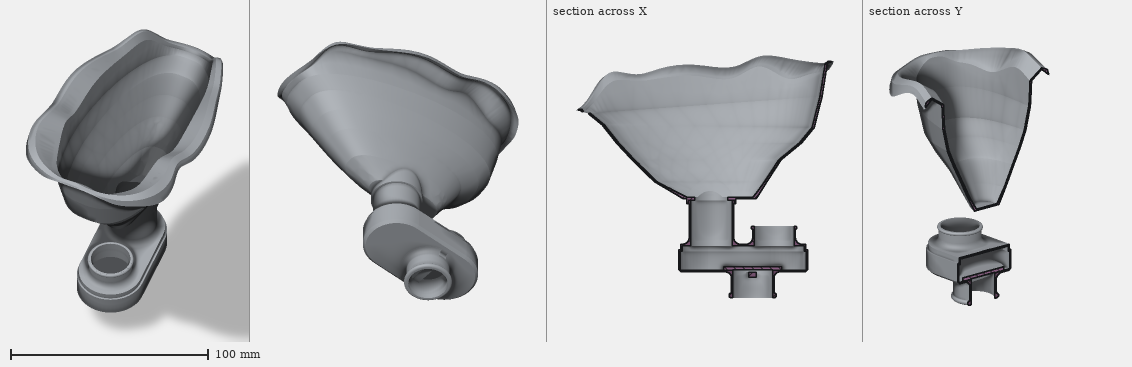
import cadquery as cq
import math


WALL = 0.98

BOX_TURN = 6.3
PORT_SPACING = 32.0
BOX_RADIUS = 17.2
BOX_BOTTOM = 13.1
BOX_TOP = 24.5
BOX_CHAMFER = 1.5
BOX_FLOOR = BOX_BOTTOM + WALL
LID_RADIUS = BOX_RADIUS - WALL
LID_TOP = 27.4
LID_SKIRT = 1.0

PORT_DIAMETER = 22.0
PORT_BORE = 20.0
PIPE_DIAMETER = 24.0
PIPE_BORE = PIPE_DIAMETER - 2 * WALL
LID_FLARE = 3.1
INTAKE_TOP = 36.5
INTAKE_LIP_RADIUS = 11.7
INTAKE_LIP_HEIGHT = 1.8
EXHAUST_OFFSET = 21.1
EXHAUST_FLARE = 2.8
EXHAUST_LIP_RADIUS = 12.2
EXHAUST_LIP_HEIGHT = 2.6

DISC_RADIUS = 14.9
DISC_THICKNESS = 2.0
BAR_WIDTH = 4.2
BAR_TOP = BOX_BOTTOM
BAR_BOTTOM = BOX_BOTTOM - EXHAUST_FLARE
BAR_STICK_OUT = 0.5

NECK_DIAMETER = 26.2
NECK_BOTTOM = 47.5
NECK_TOP = 60.3
SOCKET_DEPTH = 2.0
MASK_OUTLET = 18.0
PIPE_TOP = NECK_BOTTOM + SOCKET_DEPTH

RIM = [
    (0, -61.8, 119.6, 120.5),
    (11.8, -61.5, 118.5, 119.7),
    (21, -59.0, 115.3, 119.2),
    (30.1, -54.4, 114.2, 119.5),
    (39.3, -42.5, 111.6, 121.2),
    (40.7, -35.1, 114.6, 122.5),
    (39.3, -26.2, 117.9, 122.7),
    (40.3, -13.1, 112.4, 117.6),
    (40.6, 7.0, 113.0, 118.2),
    (33.8, 28.8, 111.7, 116.0),
    (30.1, 39.3, 110.7, 113.5),
    (23.8, 53.0, 110.4, 114.5),
    (14.1, 63.7, 99.5, 100.9),
    (5.0, 68.4, 95.4, 96.0),
    (0, 69.0, 95.0, 95.6),
]
CREST_SCALE = (0.88, 0.96)
SHOULDER_SCALE = (0.97, 0.99)
SHOULDER_RISE = 0.7
ROOT_DROP = 0.5

SHELL = [
    (-23.6, 15.7, 8.5, 50.3, 50.3),
    (-28.5, 29.5, 13.4, 59.0, 59.0),
    (-35.6, 40.6, 18.6, 70.1, 70.1),
    (-46.0, 48.5, 22.3, 78.6, 78.6),
    (-52.4, 55.7, 25.7, 86.5, 87.8),
    (-56.3, 62.9, 28.5, 102.2, 93.7),
]
SHELL_ROOT = (-59.0, 66.2, 29.2)
NOSE_TAPER = 0.08
SHELL_FULLNESS = 0.75
SHELL_INSET = 1.3
CAVITY_SECTIONS = 4

CHIN_Y = RIM[0][1]
NOSE_Y = RIM[-1][1]
STATIONS = [(y - CHIN_Y) / (NOSE_Y - CHIN_Y) for _, y, _, _ in RIM]


def cylinder(radius, y, bottom, top):
    return cq.Workplane("XY", origin=(0, y, bottom)).circle(radius).extrude(top - bottom)


def ring(half_points):
    """Closed smooth wire through points of the +X half and their mirror images."""
    mirrored = [(-x, y, z) for x, y, z in reversed(half_points[1:-1])]
    points = [cq.Vector(*p) for p in half_points + mirrored]
    return cq.Wire.assembleEdges([cq.Edge.makeSpline(points, periodic=True)])


def egg(chin_y, nose_y, half_width, heights):
    """Egg-shaped outline, blunter at the chin, with one height per rim station."""
    points = []
    for t, z in zip(STATIONS, heights):
        turn = math.acos(1 - 2 * t)
        x = half_width * math.sin(turn) ** SHELL_FULLNESS * (1 + NOSE_TAPER * math.cos(turn))
        points.append((x, chin_y + t * (nose_y - chin_y), z))
    return ring(points)


def shell_ring(section, inset=0.0, lift=0.0):
    chin_y, nose_y, half_width, chin_z, nose_z = section
    heights = [chin_z + t * (nose_z - chin_z) + lift for t in STATIONS]
    return egg(chin_y + inset, nose_y - inset, half_width - inset, heights)


def root_ring(inset=0.0):
    chin_y, nose_y, half_width = SHELL_ROOT
    heights = [edge_z - ROOT_DROP for _, _, edge_z, _ in RIM]
    return egg(chin_y + inset, nose_y - inset, half_width - inset, heights)


def lip_ring(scale, rise, drop=0.0):
    """Line along the lip, a fraction `rise` of the way up from its outer edge to its crest."""
    points = []
    for x, y, edge_z, crest_z in RIM:
        z = edge_z + rise * (crest_z - edge_z) - drop
        points.append((x * scale[0], y * scale[1], z))
    return ring(points)


def make_mask():
    outside = [shell_ring(section) for section in SHELL] + [root_ring()]
    lip = [
        lip_ring(CREST_SCALE, 1, drop=WALL),
        lip_ring((1, 1), 0),
        lip_ring(SHOULDER_SCALE, SHOULDER_RISE),
        lip_ring(CREST_SCALE, 1),
    ]
    inside = [shell_ring(SHELL[0], SHELL_INSET, WALL)]
    inside += [shell_ring(section, SHELL_INSET) for section in SHELL[1:]]
    skin = outside + lip + [root_ring(SHELL_INSET)] + inside[::-1]
    bowl = cq.Workplane(cq.Solid.makeLoft(skin, True))
    cavity = cq.Workplane(cq.Solid.makeLoft(inside[:CAVITY_SECTIONS], True))
    neck = cylinder(NECK_DIAMETER / 2, 0, NECK_BOTTOM, NECK_TOP).cut(cavity)
    socket = cylinder(PIPE_DIAMETER / 2, 0, NECK_BOTTOM, PIPE_TOP)
    outlet = cylinder(MASK_OUTLET / 2, 0, NECK_BOTTOM, NECK_TOP)
    return neck.union(bowl).cut(socket).cut(outlet)


def stadium(radius, bottom, top):
    """Upright block with round ends about the pipe and intake axes, before the box is turned."""
    return (
        cq.Workplane("XY", origin=(0, -PORT_SPACING / 2, bottom))
        .slot2D(PORT_SPACING + 2 * radius, 2 * radius, 90)
        .extrude(top - bottom)
    )


def flared_tube(radius, flare, y, root_z, end_z):
    """Solid round tube body whose root spreads out in a quarter round onto the face at root_z."""
    way = math.copysign(1, end_z - root_z)
    sag = flare * (1 - math.sqrt(0.5))
    return (
        cq.Workplane("XZ", origin=(0, y, 0))
        .moveTo(0, root_z)
        .lineTo(radius + flare, root_z)
        .threePointArc((radius + sag, root_z + way * sag), (radius, root_z + way * flare))
        .lineTo(radius, end_z)
        .lineTo(0, end_z)
        .close()
        .revolve(360, (0, 0, 0), (0, 1, 0))
    )


def round_lip(radius, y, bottom, height):
    """Disc with a fully rounded rim."""
    bead = height / 2
    return (
        cq.Workplane("XZ", origin=(0, y, 0))
        .moveTo(0, bottom)
        .lineTo(radius - bead, bottom)
        .threePointArc((radius, bottom + bead), (radius - bead, bottom + height))
        .lineTo(0, bottom + height)
        .close()
        .revolve(360, (0, 0, 0), (0, 1, 0))
    )


def turned(body):
    """Swing a part of the valve box from the -Y direction to its place about the mask outlet."""
    return body.rotate((0, 0, 0), (0, 0, 1), BOX_TURN)


def make_lid():
    skirt_bottom = BOX_TOP - LID_SKIRT
    inner_top = LID_TOP - WALL
    lip_bottom = INTAKE_TOP - INTAKE_LIP_HEIGHT
    lid = (
        stadium(LID_RADIUS, skirt_bottom, LID_TOP)
        .cut(stadium(LID_RADIUS - WALL, skirt_bottom, inner_top))
        .union(flared_tube(PIPE_DIAMETER / 2, LID_FLARE, 0, LID_TOP, PIPE_TOP))
        .union(flared_tube(PORT_DIAMETER / 2, LID_FLARE, -PORT_SPACING, LID_TOP, INTAKE_TOP))
        .union(round_lip(INTAKE_LIP_RADIUS, -PORT_SPACING, lip_bottom, INTAKE_LIP_HEIGHT))
        .cut(cylinder(PIPE_BORE / 2, 0, skirt_bottom, PIPE_TOP))
        .cut(cylinder(PORT_BORE / 2, -PORT_SPACING, skirt_bottom, INTAKE_TOP))
    )
    return turned(lid)


def bar_block(reach_minus_x, reach_plus_x):
    """Bar across the exhaust port, reaching the given distances to either side of its axis."""
    return cq.Workplane("XY", origin=(-reach_minus_x, -EXHAUST_OFFSET, BAR_BOTTOM)).box(
        reach_minus_x + reach_plus_x, BAR_WIDTH, BAR_TOP - BAR_BOTTOM, centered=(False, True, False)
    )


def make_housing():
    tray = stadium(BOX_RADIUS, BOX_BOTTOM, BOX_TOP).faces("<Z").chamfer(BOX_CHAMFER)
    window = bar_block(PORT_DIAMETER / 2 + EXHAUST_FLARE, 0)
    housing = (
        tray.cut(stadium(LID_RADIUS, BOX_FLOOR, BOX_TOP))
        .union(flared_tube(PORT_DIAMETER / 2, EXHAUST_FLARE, -EXHAUST_OFFSET, BOX_BOTTOM, 0))
        .union(round_lip(EXHAUST_LIP_RADIUS, -EXHAUST_OFFSET, 0, EXHAUST_LIP_HEIGHT))
        .cut(cylinder(PORT_BORE / 2, -EXHAUST_OFFSET, 0, BOX_TOP))
        .cut(window)
    )
    return turned(housing)


def make_valve_disc():
    return turned(cylinder(DISC_RADIUS, -EXHAUST_OFFSET, BOX_FLOOR, BOX_FLOOR + DISC_THICKNESS))


def make_valve_bar():
    """Bar that sits in the window of the -X port wall and touches the opposite side of the bore."""
    window_end = PORT_DIAMETER / 2 + BAR_STICK_OUT
    bore_end = math.sqrt((PORT_BORE / 2) ** 2 - (BAR_WIDTH / 2) ** 2)
    return turned(bar_block(window_end, bore_end))


mask = make_mask()
lid = make_lid()
housing = make_housing()
valve_disc = make_valve_disc()
valve_bar = make_valve_bar()

bodies = [mask, lid, housing, valve_disc, valve_bar]
result = cq.Compound.makeCompound([body.solids().val() for body in bodies])